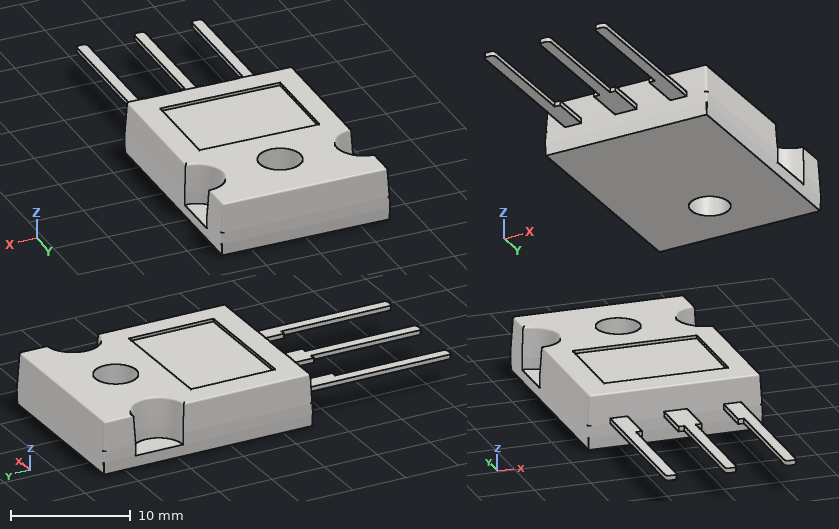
import cadquery as cq
import math

TOTAL_LENGTH = 34.05
HOUSING_WIDTH = 15.45
HOUSING_LENGTH = 19.85
HOUSING_HEIGHT = 4.87

BASE_HEIGHT = 1.12
PARTING_HEIGHT = 2.18
DRAFT = 3.0
EDGE_ROUND = 0.2
SHARP_CORNER_ROUND = 0.017

HOLE_Y = 14.57
HOLE_DIAMETER = 3.5
NOTCH_DIAMETER = 4.5
NOTCH_AXIS_INSET = 0.1

RECESS_WIDTH = 11.0
RECESS_LENGTH = 8.0
RECESS_FRONT_Y = 2.4
RECESS_DEPTH = 0.27

LEAD_THICKNESS = 0.45
LEAD_PITCH = 5.28
LEAD_WIDTH = 1.02
SHOULDER_LENGTH = 3.68
SHOULDER_STEP = 0.5
TIP_ROUND = 0.35
TRIM_ALLOWANCE = 0.35

MIDDLE_Y = HOUSING_LENGTH / 2
UPPER_HEIGHT = HOUSING_HEIGHT - PARTING_HEIGHT
BAND_HEIGHT = PARTING_HEIGHT - BASE_HEIGHT
DRAFT_SLOPE = math.tan(math.radians(DRAFT))
LEAD_TIP_Y = HOUSING_LENGTH - TOTAL_LENGTH


def rounded_outline(radius):
    """Widest housing outline with rounded corners."""
    return cq.Sketch().rect(HOUSING_WIDTH, HOUSING_LENGTH).vertices().fillet(radius)


def make_base():
    """Base that flares outwards from the underside to the widest outline."""
    inset = BASE_HEIGHT * DRAFT_SLOPE
    return (
        cq.Workplane("XY", origin=(0, MIDDLE_Y, 0))
        .rect(HOUSING_WIDTH - 2 * inset, HOUSING_LENGTH - 2 * inset)
        .extrude(BASE_HEIGHT, taper=-DRAFT)
    )


def make_band():
    """Vertical band whose corners grow from almost sharp to fully rounded."""
    return (
        cq.Workplane("XY", origin=(0, MIDDLE_Y, BASE_HEIGHT))
        .placeSketch(
            rounded_outline(SHARP_CORNER_ROUND),
            rounded_outline(EDGE_ROUND).moved(cq.Location(cq.Vector(0, 0, BAND_HEIGHT))),
        )
        .loft(ruled=True)
    )


def make_upper():
    """Drafted upper part with rounded corners."""
    return (
        cq.Workplane("XY", origin=(0, MIDDLE_Y, PARTING_HEIGHT))
        .rect(HOUSING_WIDTH, HOUSING_LENGTH)
        .extrude(UPPER_HEIGHT, taper=DRAFT)
        .edges("not(#Z or |X or |Y)")
        .fillet(EDGE_ROUND)
    )


def drafted_bore(x, radius, floor):
    """Cutter that is straight up to the parting height and widens above it."""
    straight = (
        cq.Workplane("XY", origin=(x, HOLE_Y, floor)).circle(radius).extrude(PARTING_HEIGHT - floor)
    )
    flared = (
        cq.Workplane("XY", origin=(x, HOLE_Y, PARTING_HEIGHT))
        .circle(radius)
        .extrude(UPPER_HEIGHT, taper=-DRAFT)
    )
    return straight.union(flared)


def make_recess():
    """Cutter for the shallow rectangular marking field."""
    return (
        cq.Workplane("XY", origin=(0, RECESS_FRONT_Y + RECESS_LENGTH / 2, HOUSING_HEIGHT))
        .rect(RECESS_WIDTH, RECESS_LENGTH)
        .extrude(-RECESS_DEPTH)
    )


def make_housing():
    """Moulded housing; the notch rims are rounded with the top edges, the hole and recess stay sharp."""
    housing = make_base().union(make_band()).union(make_upper())
    for side in (-1, 1):
        notch_x = side * (HOUSING_WIDTH / 2 - NOTCH_AXIS_INSET)
        housing = housing.cut(drafted_bore(notch_x, NOTCH_DIAMETER / 2, BASE_HEIGHT))
    housing = housing.faces(">Z").edges().fillet(EDGE_ROUND)
    housing = housing.cut(drafted_bore(0, HOLE_DIAMETER / 2, 0))
    return housing.cut(make_recess()).solids()


def make_lead(x, step_sides, housing):
    """Flat lead ending on the housing front; shoulders step out on the given sides."""
    lead = (
        cq.Workplane("XY", origin=(x - LEAD_WIDTH / 2, LEAD_TIP_Y, PARTING_HEIGHT))
        .rect(LEAD_WIDTH, TRIM_ALLOWANCE - LEAD_TIP_Y, centered=False)
        .extrude(LEAD_THICKNESS)
        .faces("<Y")
        .edges("|Z")
        .fillet(TIP_ROUND)
    )
    for side in step_sides:
        shoulder = (
            cq.Workplane("XY", origin=(x + side * LEAD_WIDTH / 2, -SHOULDER_LENGTH, PARTING_HEIGHT))
            .rect(side * SHOULDER_STEP, SHOULDER_LENGTH + TRIM_ALLOWANCE, centered=False)
            .extrude(LEAD_THICKNESS)
        )
        lead = lead.union(shoulder)
    return lead.cut(housing).solids()


housing = make_housing()

lead_layout = [(-LEAD_PITCH, [1]), (0, [-1, 1]), (LEAD_PITCH, [-1])]
leads = [make_lead(x, step_sides, housing) for x, step_sides in lead_layout]

result = cq.Compound.makeCompound([housing.val(), *[lead.val() for lead in leads]])